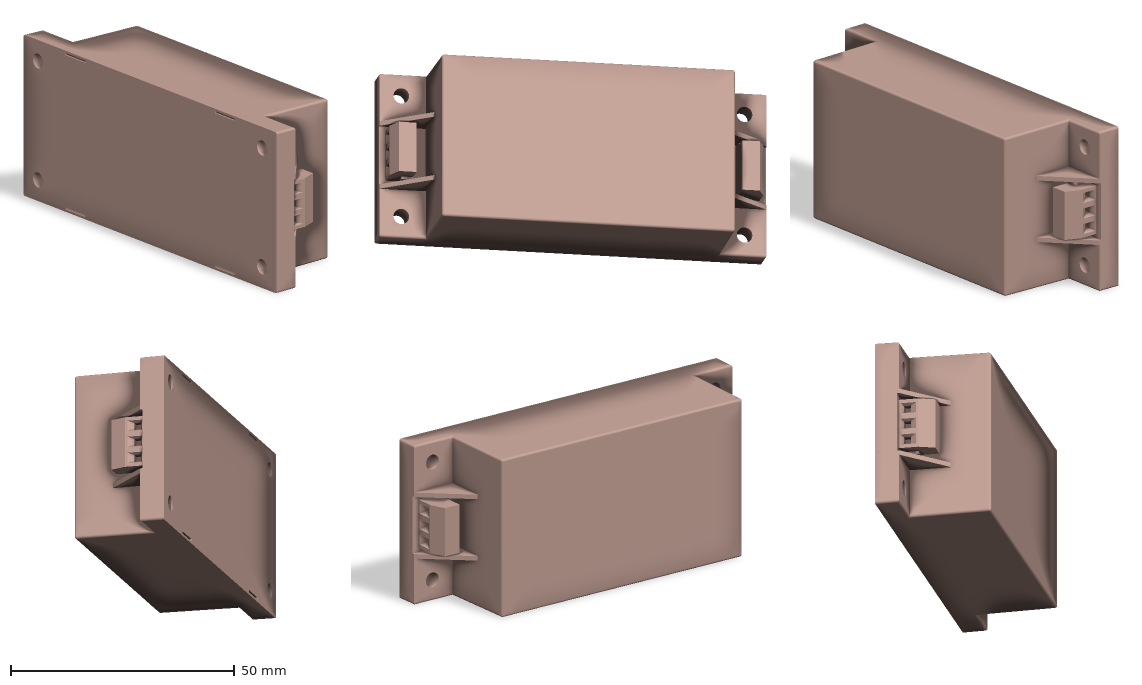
import cadquery as cq
import math

LENGTH = 88.4
WIDTH = 38.1
HEIGHT = 24.1
FLANGE_LENGTH = 10.6
FLANGE_HEIGHT = 5.6
DRAFT = 0.5
EDGE_RADIUS = 0.5
CASE_TILT = -0.66

RIM = 0.5
COVER_THICKNESS = 2.65
SEAT_HEIGHT = 5.0
SEAT_WIDTH = 13.6

SNAP_LENGTH = 6.9
SNAP_DEPTH = 0.5
SNAP_SPACING = 52.15

HOLE_DIAMETER = 3.5
HOLE_SPACING_X = 78.2
HOLE_SPACING_Z = 28.1

GUSSET_THICKNESS = 1.1
GUSSET_RISE = 9.55

TERMINAL_WIDTH = 11.5
TERMINAL_DEPTH = 5.5
TERMINAL_HEIGHT = 8.1
TERMINAL_SETBACK = 1.6
FRONT_HEIGHT = 4.5
FRONT_SLOPE = 1.5
POLE_COUNT = 3
POLE_PITCH = 3.7
MOUTH_WIDTH = 2.4
MOUTH_HEIGHT = 3.45
MOUTH_BASE = 0.5
FLARE_DEPTH = 0.9
BORE_SIZE = 1.6
BORE_BASE = 1.1
BORE_DEPTH = 2.65
KEY_WIDTH = 0.6
KEY_HEIGHT = 4.0
KEY_SETBACK = 2.8

ENDS = (-1, 1)
END_X = LENGTH / 2
BODY_LENGTH = LENGTH - 2 * FLANGE_LENGTH
COVER_LENGTH = LENGTH - 2 * RIM
COVER_WIDTH = WIDTH - 2 * RIM
SNAP_OUTER_Z = COVER_WIDTH / 2
SNAP_INNER_Z = SNAP_OUTER_Z - SNAP_DEPTH


def box(x_min, x_max, y_min, y_max, z_min, z_max):
    size = (x_max - x_min, y_max - y_min, z_max - z_min)
    return cq.Workplane("XY").box(*size, centered=False).translate((x_min, y_min, z_min))


def at_end(shape, end):
    """Turn a shape made at the -X end about Y to the wanted end."""
    return shape if end < 0 else shape.rotate((0, 0, 0), (0, 1, 0), 180)


def drafted_block(length, height):
    """Block on the XZ plane whose four walls lean inward by the draft."""
    return cq.Workplane("ZX").rect(WIDTH, length).extrude(height, taper=DRAFT)


def mounting_holes():
    return (
        cq.Workplane("ZX")
        .rect(HOLE_SPACING_Z, HOLE_SPACING_X, forConstruction=True)
        .vertices()
        .circle(HOLE_DIAMETER / 2)
        .extrude(FLANGE_HEIGHT)
    )


def gusset(z_min):
    """Triangular web between the flange and the -X end of the raised body."""
    lean = math.tan(math.radians(DRAFT))
    top_y = FLANGE_HEIGHT + GUSSET_RISE
    wall_x = -BODY_LENGTH / 2 + top_y * lean
    return (
        cq.Workplane("XY", origin=(0, 0, z_min))
        .moveTo(-END_X + FLANGE_HEIGHT * lean, FLANGE_HEIGHT)
        .lineTo(wall_x, top_y)
        .lineTo(wall_x, FLANGE_HEIGHT)
        .close()
        .extrude(GUSSET_THICKNESS)
    )


def terminal_bay(height):
    """Space in the -X flange between two gussets, ending at the drafted wall of the raised body."""
    bay = box(-END_X, 0, 0, height, -SEAT_WIDTH / 2, SEAT_WIDTH / 2)
    return bay.cut(drafted_block(BODY_LENGTH, HEIGHT))


def terminal_seat():
    """Block filling the lower part of the bay, with the flange end's draft."""
    return terminal_bay(SEAT_HEIGHT).intersect(drafted_block(LENGTH, FLANGE_HEIGHT))


def cover_plate():
    """Plate filling the recess in the open side of the case."""
    plate = cq.Workplane("ZX").rect(COVER_WIDTH, COVER_LENGTH)
    return plate.extrude(COVER_THICKNESS)


def snap_bars(section):
    """Bars of the given (Y, Z) section at every snap place along both long rims."""
    bar = cq.Workplane("YZ").polyline(section).close().extrude(SNAP_LENGTH / 2, both=True)
    bars = []
    for rim_bar in (bar, bar.mirror("XY")):
        for end in ENDS:
            bars.append(rim_bar.translate((end * SNAP_SPACING / 2, 0, 0)))
    return bars


def snap_notches():
    """Square-cornered notches through the cover edge."""
    return snap_bars(
        [
            (0, SNAP_OUTER_Z),
            (0, SNAP_INNER_Z),
            (COVER_THICKNESS, SNAP_INNER_Z),
            (COVER_THICKNESS, SNAP_OUTER_Z),
        ]
    )


def snap_wedges():
    """Wedges on the case rim that fill the notches and are bevelled at the open side."""
    return snap_bars(
        [
            (0, SNAP_OUTER_Z),
            (SNAP_DEPTH, SNAP_INNER_Z),
            (COVER_THICKNESS, SNAP_INNER_Z),
            (COVER_THICKNESS, SNAP_OUTER_Z),
        ]
    )


def make_housing():
    housing = drafted_block(LENGTH, FLANGE_HEIGHT).union(drafted_block(BODY_LENGTH, HEIGHT))

    side_edges = housing.faces(">Z or <Z").edges("not <Y")
    housing = side_edges.add(housing.faces(">Y").edges("|Z")).fillet(EDGE_RADIUS)

    housing = housing.cut(cover_plate())
    for wedge in snap_wedges():
        housing = housing.union(wedge)

    for end in ENDS:
        housing = housing.cut(at_end(terminal_bay(FLANGE_HEIGHT), end))
        for z_min in (SEAT_WIDTH / 2, -SEAT_WIDTH / 2 - GUSSET_THICKNESS):
            housing = housing.union(at_end(gusset(z_min), end))
    return housing.cut(mounting_holes())


def make_cover():
    cover = cover_plate()
    for notch in snap_notches():
        cover = cover.cut(notch)
    for end in ENDS:
        cover = cover.union(at_end(terminal_seat(), end))
    return cover.cut(mounting_holes())


def wire_entry(front_x, z):
    """Flared mouth narrowing to a square bore, running in from the terminal front."""
    mouth_y = SEAT_HEIGHT + MOUTH_BASE + MOUTH_HEIGHT / 2
    bore_y = SEAT_HEIGHT + BORE_BASE + BORE_SIZE / 2
    flare = (
        cq.Workplane("YZ", origin=(front_x, mouth_y, z))
        .rect(MOUTH_HEIGHT, MOUTH_WIDTH)
        .workplane(offset=FLARE_DEPTH)
        .center(bore_y - mouth_y, 0)
        .rect(BORE_SIZE, BORE_SIZE)
        .loft(ruled=True)
    )
    bore = (
        cq.Workplane("YZ", origin=(front_x + FLARE_DEPTH, bore_y, z))
        .rect(BORE_SIZE, BORE_SIZE)
        .extrude(BORE_DEPTH - FLARE_DEPTH)
    )
    return flare.union(bore)


def make_terminal(end):
    front_x = -END_X + TERMINAL_SETBACK
    back_x = front_x + TERMINAL_DEPTH
    top_y = SEAT_HEIGHT + TERMINAL_HEIGHT
    terminal = (
        cq.Workplane("XY")
        .moveTo(front_x, SEAT_HEIGHT)
        .lineTo(front_x, SEAT_HEIGHT + FRONT_HEIGHT)
        .lineTo(front_x + FRONT_SLOPE, top_y)
        .lineTo(back_x, top_y)
        .lineTo(back_x, SEAT_HEIGHT)
        .close()
        .extrude(TERMINAL_WIDTH / 2, both=True)
    )
    key_z = TERMINAL_WIDTH / 2
    key = box(
        front_x + KEY_SETBACK, back_x, SEAT_HEIGHT, SEAT_HEIGHT + KEY_HEIGHT, key_z, key_z + KEY_WIDTH
    )
    terminal = terminal.union(key)
    for pole in range(POLE_COUNT):
        pole_z = (pole - (POLE_COUNT - 1) / 2) * POLE_PITCH
        terminal = terminal.cut(wire_entry(front_x, pole_z))
    return at_end(terminal, end)


housing = make_housing()
cover = make_cover()
terminals = [make_terminal(end) for end in ENDS]

bodies = [housing, cover, *terminals]
result = cq.Compound.makeCompound(
    [body.rotate((0, 0, 0), (0, 0, 1), CASE_TILT).val() for body in bodies]
)